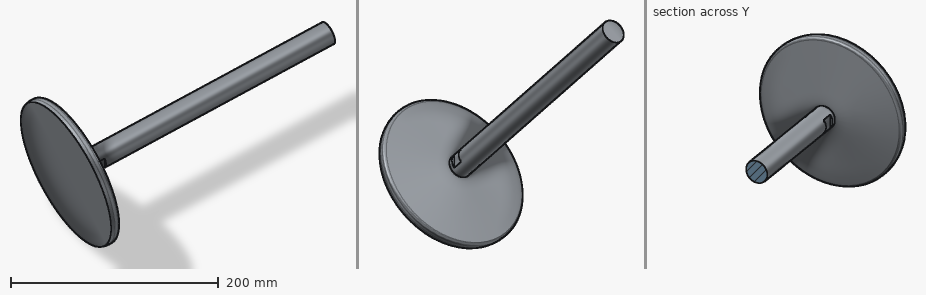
import cadquery as cq

total_length = 304.0
disc_diameter = 158.0
shaft_diameter = 24.0

taper_height = 3.5
taper_inset = 1.0
rim_height = 9.7
cone_height = 21.3
rim_fillet = 3.0

flat_start = 26.0
flat_length = 12.5
across_flats = 19.0

disc_radius = disc_diameter / 2
shaft_radius = shaft_diameter / 2


def make_disc():
    """Disc with a tapered lower rim, a rounded upper rim and a conical back."""
    disc = (
        cq.Workplane("XY")
        .moveTo(0, 0)
        .lineTo(disc_radius - taper_inset, 0)
        .lineTo(disc_radius, taper_height)
        .lineTo(disc_radius, rim_height)
        .lineTo(shaft_radius, cone_height)
        .lineTo(0, cone_height)
        .close()
        .revolve(360, (0, 0, 0), (0, 1, 0))
    )
    rim_center = cq.selectors.NearestToPointSelector((0, rim_height, 0))
    return disc.edges("%CIRCLE").edges(rim_center).fillet(rim_fillet)


def make_shaft():
    """Round shaft with two opposite flats facing -X and +X."""
    shaft = (
        cq.Workplane("XZ", origin=(0, cone_height, 0))
        .circle(shaft_radius)
        .extrude(cone_height - total_length)
    )
    cut_depth = shaft_radius
    for side in (-1, 1):
        cutter_center = (
            side * (across_flats + cut_depth) / 2,
            flat_start + flat_length / 2,
            0,
        )
        cutter = cq.Workplane("XY").box(cut_depth, flat_length, shaft_diameter)
        shaft = shaft.cut(cutter.translate(cutter_center))
    return shaft


result = make_disc().union(make_shaft())